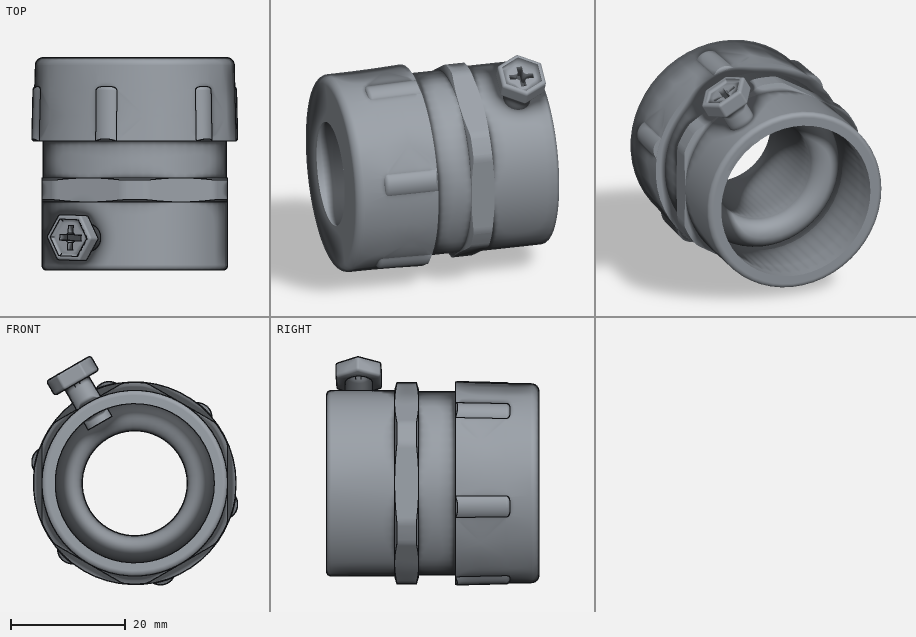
import cadquery as cq
import math

total_length = 37.1
throat_diameter = 18.3

socket_diameter = 32.4
neck_diameter = 32.0
bore_diameter = 27.8
rim_fillet = 0.85

collar_front = 11.9
collar_back = 16.1
collar_across_flats = 32.4
collar_corner_diameter = 35.15
collar_corner_fillet = 3.0
collar_chamfer_length = 0.4

ring_seat_diameter = 28.2
ring_seat_front = 14.0
ring_crest = 14.3

cap_front = 22.5
cap_front_diameter = 35.4
cap_taper = 1.4
cap_back_wall = 3.0
cap_back_fillet = 1.4

rib_count = 6
first_rib_angle = 46.5
rib_radius = 2.6
rib_axis_radius = 15.82
rib_length = 9.5
rib_back_fillet = 0.7
rib_front_slope = 30.0

screw_angle = 120.0
screw_turn = -2.2
screw_y = 5.65
shank_diameter = 4.8
shank_end_radius = 12.1
head_seat_radius = 20.2
head_height = 2.95
head_across_flats = 7.85
head_fillet = 0.5
recess_across_flats = 6.4
recess_depth = 0.7
slot_length = 4.3
slot_width = 1.0
slot_depth = 2.7
slot_center_diameter = 1.9

neck_end = total_length - cap_back_wall
cap_length = total_length - cap_front
cap_back_diameter = cap_front_diameter - 2 * cap_length * math.tan(math.radians(cap_taper))
lip_section_radius = (ring_seat_diameter - throat_diameter) / 4
lip_crest_radius = (ring_seat_diameter + throat_diameter) / 4
ring_shoulder = ring_crest + lip_section_radius
shank_length = head_seat_radius - shank_end_radius
recess_floor_radius = head_seat_radius + head_height - recess_depth


def disc(diameter, start, end):
    """Cylinder on the coupling axis between two Y positions."""
    return cq.Workplane("XZ", origin=(0, start, 0)).circle(diameter / 2).extrude(start - end)


def turned(points):
    """Solid turned about the coupling axis from (radius, Y) corners."""
    return cq.Workplane("XY").polyline(points).close().revolve(360, (0, 0, 0), (0, 1, 0))


def hexagon_diameter(across_flats):
    """Diameter of the circle through the corners of a hexagon."""
    return across_flats / math.cos(math.pi / 6)



def make_collar():
    """Hexagon with flats facing +X and -X, rounded corners and chamfered end faces."""
    hexagon = (
        cq.Workplane("XZ", origin=(0, collar_front, 0))
        .transformed(rotate=(0, 0, 30))
        .polygon(6, hexagon_diameter(collar_across_flats))
        .extrude(collar_front - collar_back)
    )
    collar = hexagon.intersect(disc(collar_corner_diameter, collar_front, collar_back))
    collar = collar.edges("|Y").fillet(collar_corner_fillet)
    flat_radius = collar_across_flats / 2
    corner_radius = collar_corner_diameter / 2
    chamfer_envelope = turned([
        (0, collar_front),
        (flat_radius, collar_front),
        (corner_radius, collar_front + collar_chamfer_length),
        (corner_radius, collar_back - collar_chamfer_length),
        (flat_radius, collar_back),
        (0, collar_back),
    ])
    return collar.intersect(chamfer_envelope)


def make_body():
    socket = disc(socket_diameter, 0, collar_front).faces("<Y").edges().fillet(rim_fillet)
    neck = disc(neck_diameter, collar_front, neck_end)
    bore = disc(bore_diameter, 0, ring_seat_front)
    ring_seat = disc(ring_seat_diameter, ring_seat_front, neck_end)
    outside = socket.union(make_collar()).union(neck)
    return outside.cut(bore).cut(ring_seat).cut(make_shank())



def make_throat_ring():
    inner_radius = throat_diameter / 2
    outer_radius = ring_seat_diameter / 2
    return (
        cq.Workplane("XY")
        .moveTo(inner_radius, neck_end)
        .lineTo(inner_radius, ring_shoulder)
        .threePointArc((lip_crest_radius, ring_crest), (outer_radius, ring_shoulder))
        .lineTo(outer_radius, neck_end)
        .close()
        .revolve(360, (0, 0, 0), (0, 1, 0))
    )



def make_rib_front_cutter():
    """Conical cutter that slopes the front ends of the ribs back from the edge of the cap."""
    base_radius = cap_front_diameter / 2
    reach = rib_radius
    setback = reach * math.tan(math.radians(rib_front_slope))
    return turned([
        (0, cap_front),
        (base_radius, cap_front),
        (base_radius + reach, cap_front + setback),
        (base_radius + reach, cap_front - setback),
        (0, cap_front - setback),
    ])


def make_rib(angle):
    """Round bar sunk into the cap and tilted to follow its taper."""
    rib = (
        cq.Workplane("XZ", origin=(rib_axis_radius, cap_front, 0))
        .transformed(rotate=(0, cap_taper, 0))
        .circle(rib_radius)
        .extrude(-rib_length)
        .faces(">Y")
        .edges()
        .fillet(rib_back_fillet)
        .cut(make_rib_front_cutter())
    )
    return rib.rotate((0, 0, 0), (0, 1, 0), -angle)


def make_cap():
    cap = turned([
        (0, cap_front),
        (cap_front_diameter / 2, cap_front),
        (cap_back_diameter / 2, total_length),
        (0, total_length),
    ])
    cap = cap.faces(">Y").edges().fillet(cap_back_fillet)
    for number in range(rib_count):
        cap = cap.union(make_rib(first_rib_angle + number * 360 / rib_count))
    neck_socket = disc(neck_diameter, cap_front, neck_end)
    throat = disc(throat_diameter, neck_end, total_length)
    return cap.cut(neck_socket).cut(throat)



def screw_plane(radius):
    """Plane across the screw axis, at a distance from the coupling axis and facing outward."""
    angle = math.radians(screw_angle)
    plane = cq.Plane(
        origin=(radius * math.cos(angle), screw_y, radius * math.sin(angle)),
        xDir=(math.sin(angle), 0, -math.cos(angle)),
        normal=(math.cos(angle), 0, math.sin(angle)),
    )
    return plane.rotated((0, 0, screw_turn))


def make_shank():
    return cq.Workplane(screw_plane(shank_end_radius)).circle(shank_diameter / 2).extrude(shank_length)


def make_head_recess():
    floor_plane = screw_plane(recess_floor_radius)
    floor_face = cq.selectors.DirectionMinMaxSelector(floor_plane.zDir, False)
    return (
        cq.Workplane(floor_plane)
        .polygon(6, hexagon_diameter(recess_across_flats))
        .extrude(recess_depth)
        .faces(floor_face)
        .edges()
        .fillet(head_fillet)
    )


def make_cross_slot():
    floor = cq.Workplane(screw_plane(recess_floor_radius))
    first_arm = floor.rect(slot_length, slot_width).extrude(-slot_depth)
    second_arm = floor.rect(slot_width, slot_length).extrude(-slot_depth)
    center = floor.circle(slot_center_diameter / 2).extrude(-slot_depth)
    return first_arm.union(second_arm).union(center)


def make_screw():
    head = (
        cq.Workplane(screw_plane(head_seat_radius))
        .polygon(6, hexagon_diameter(head_across_flats))
        .extrude(head_height)
        .edges()
        .fillet(head_fillet)
    )
    return head.cut(make_head_recess()).union(make_shank()).cut(make_cross_slot())


body = make_body()
throat_ring = make_throat_ring()
cap = make_cap()
screw = make_screw()

result = cq.Compound.makeCompound([
    body.solids().val(),
    throat_ring.solids().val(),
    cap.solids().val(),
    screw.solids().val(),
])